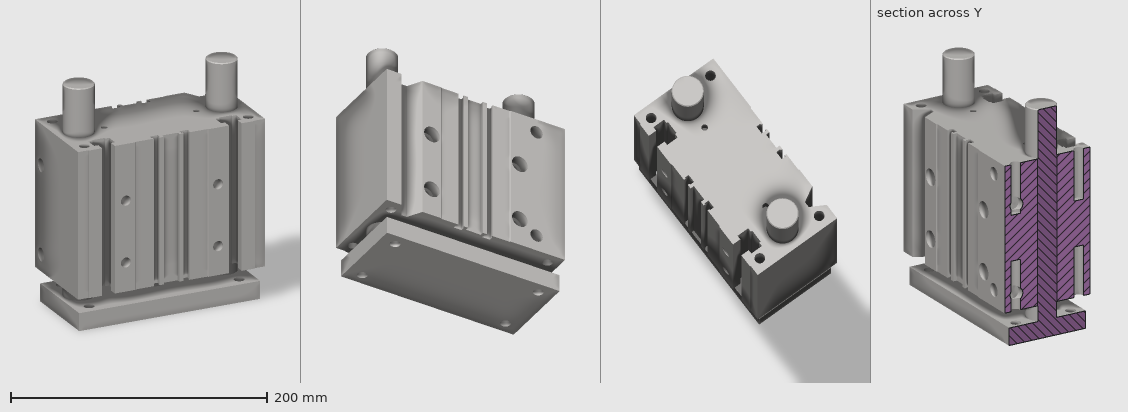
import cadquery as cq

TOTAL_HEIGHT = 193.0
HOUSING_X = 78.0
HOUSING_Y = 162.0
HOUSING_BOTTOM = 28.0
HOUSING_TOP = 151.9
HOUSING_HEIGHT = HOUSING_TOP - HOUSING_BOTTOM
HALF_X = HOUSING_X / 2
HALF_Y = HOUSING_Y / 2

PLATE_X = 70.0
PLATE_Y = 157.0
PLATE_THICKNESS = 15.0
PLATE_HOLE_DIAMETER = 8.5
PLATE_HOLE_SPACING_X = 50.0
PLATE_HOLE_SPACING_Y = 130.0
GUIDE_ROD_DIAMETER = 25.0
GUIDE_ROD_SPACING = 124.0
GUIDE_ROD_CHAMFER = 0.8
PISTON_ROD_DIAMETER = 20.0

RELIEF_DEPTH = 0.68
MIDDLE_RELIEF_HALF_WIDTH = 31.7
CORNER_RELIEF_LENGTH = 9.0

CHANNEL_WIDTH = 13.5
CHANNEL_DEPTH = 3.9
SENSOR_SLOT_OFFSET = 13.0
SENSOR_NECK_WIDTH = 5.0
SENSOR_NECK_DEPTH = 2.3
SENSOR_SLOT_WIDTH = 7.0
SENSOR_SLOT_DEPTH = 6.0

V_GROOVE_Y = 57.9
V_GROOVE_MOUTH = 19.0
V_GROOVE_FLOOR = 5.0
V_GROOVE_DEPTH = 12.4

MOUNT_SLOT_Y = 55.0
MOUNT_NECK_WIDTH = 11.0
MOUNT_NECK_DEPTH = 7.1
MOUNT_SLOT_WIDTH = 18.0
MOUNT_SLOT_DEPTH = 17.4
MOUNT_FLOOR_DEPTH = 18.7

CORNER_HOLE_DIAMETER = 8.3
CORNER_HOLE_SPACING_X = 57.7
CORNER_HOLE_SPACING_Y = 142.0
CORNER_HOLE_DEPTH = 42.5
DOWEL_HOLE_DIAMETER = 5.2
DOWEL_HOLE_DEPTH = 9.6
CROSS_HOLE_SPACING_Y = 79.9
CROSS_HOLE_BOTTOM_Z = 52.3
CROSS_HOLE_SPACING_Z = 52.0
CROSS_HOLE_DIAMETER = 8.5
COUNTERBORE_DIAMETER = 14.0
COUNTERBORE_DEPTH = 9.6
PORT_DIAMETER = 11.2
PORT_DEPTH = 15.5
SIDE_PORT_Y = -55.2
SIDE_PORT_HEIGHTS = (42.0, 139.7)
END_PORT_X = -28.2
END_PORT_HEIGHTS = (42.0, 117.0)


def housing_prism(x_min, x_max, y_center, y_width):
    """Box over the full housing height."""
    return (
        cq.Workplane("XY", origin=((x_min + x_max) / 2, y_center, HOUSING_BOTTOM))
        .rect(x_max - x_min, y_width)
        .extrude(HOUSING_HEIGHT)
    )


def wall_cut(side, y_center, width, depth):
    """Slot of full height, cut to the given depth from the +X (side = 1) or -X (side = -1) wall."""
    outer = side * HALF_X
    inner = side * (HALF_X - depth)
    return housing_prism(min(outer, inner), max(outer, inner), y_center, width)


def middle_relief(side):
    """Shallow relief of the middle of a long wall, with ends sloping at 45 degrees."""
    mouth = MIDDLE_RELIEF_HALF_WIDTH
    floor = mouth - RELIEF_DEPTH
    outer = side * HALF_X
    inner = side * (HALF_X - RELIEF_DEPTH)
    return (
        cq.Workplane("XY", origin=(0, 0, HOUSING_BOTTOM))
        .polyline([(outer, -mouth), (inner, -floor), (inner, floor), (outer, mouth)])
        .close()
        .extrude(HOUSING_HEIGHT)
    )


def v_groove():
    """Flat-bottomed V-groove over the full height of the -X wall."""
    mouth = V_GROOVE_MOUTH / 2
    floor = V_GROOVE_FLOOR / 2
    floor_x = V_GROOVE_DEPTH - HALF_X
    return (
        cq.Workplane("XY", origin=(0, V_GROOVE_Y, HOUSING_BOTTOM))
        .polyline([(-HALF_X, -mouth), (floor_x, -floor), (floor_x, floor), (-HALF_X, mouth)])
        .close()
        .extrude(HOUSING_HEIGHT)
    )


def sensor_slots(side):
    """Central channel of a long wall with a T-slot on each side of it."""
    cuts = wall_cut(side, 0, CHANNEL_WIDTH, CHANNEL_DEPTH)
    wide_x = sorted((side * (HALF_X - SENSOR_NECK_DEPTH), side * (HALF_X - SENSOR_SLOT_DEPTH)))
    for y in (-SENSOR_SLOT_OFFSET, SENSOR_SLOT_OFFSET):
        cuts = cuts.union(wall_cut(side, y, SENSOR_NECK_WIDTH, SENSOR_SLOT_DEPTH))
        cuts = cuts.union(housing_prism(*wide_x, y, SENSOR_SLOT_WIDTH))
    return cuts


def mount_slot(y):
    """T-slot in the +X wall; its neck width continues as a shallow step in the slot floor."""
    neck = wall_cut(1, y, MOUNT_NECK_WIDTH, MOUNT_FLOOR_DEPTH)
    wide = housing_prism(HALF_X - MOUNT_SLOT_DEPTH, HALF_X - MOUNT_NECK_DEPTH, y, MOUNT_SLOT_WIDTH)
    return neck.union(wide)


def guide_rods(bottom, top):
    """Pair of cylinders of the guide rod size, also used to bore the housing."""
    return (
        cq.Workplane("XY", origin=(0, 0, bottom))
        .rarray(2, GUIDE_ROD_SPACING, 1, 2)
        .circle(GUIDE_ROD_DIAMETER / 2)
        .extrude(top - bottom)
    )


def vertical_holes(bottom, depth, diameter, spacing_x, spacing_y):
    """Four vertical cylinders, at the corners of a rectangle around the piston axis."""
    return (
        cq.Workplane("XY", origin=(0, 0, bottom))
        .rarray(spacing_x, spacing_y, 2, 2)
        .circle(diameter / 2)
        .extrude(depth)
    )


def dowel_holes():
    """Two blind holes in the top face, in line with the cross holes."""
    return (
        cq.Workplane("XY", origin=(0, 0, HOUSING_TOP))
        .rarray(2, CROSS_HOLE_SPACING_Y, 1, 2)
        .circle(DOWEL_HOLE_DIAMETER / 2)
        .extrude(-DOWEL_HOLE_DEPTH)
    )


def cross_holes(length, diameter):
    """Four cylinders running into the housing from the -X wall."""
    z = CROSS_HOLE_BOTTOM_Z + CROSS_HOLE_SPACING_Z / 2
    return (
        cq.Workplane("YZ", origin=(-HALF_X, 0, z))
        .rarray(CROSS_HOLE_SPACING_Y, CROSS_HOLE_SPACING_Z, 2, 2)
        .circle(diameter / 2)
        .extrude(length)
    )


def ports():
    """Blind air ports in the -X wall and in the -Y end."""
    radius = PORT_DIAMETER / 2
    side_ports = (
        cq.Workplane("YZ", origin=(-HALF_X, 0, 0))
        .pushPoints([(SIDE_PORT_Y, z) for z in SIDE_PORT_HEIGHTS])
        .circle(radius)
        .extrude(PORT_DEPTH)
    )
    end_ports = (
        cq.Workplane("XZ", origin=(0, -HALF_Y, 0))
        .pushPoints([(END_PORT_X, z) for z in END_PORT_HEIGHTS])
        .circle(radius)
        .extrude(-PORT_DEPTH)
    )
    return side_ports.union(end_ports)


def make_housing():
    """Cylinder body with its slots, bores, mounting holes and ports."""
    housing = housing_prism(-HALF_X, HALF_X, 0, HOUSING_Y)
    for side in (-1, 1):
        housing = housing.cut(middle_relief(side)).cut(sensor_slots(side))
    for end in (-1, 1):
        corner_y = end * (HALF_Y - CORNER_RELIEF_LENGTH / 2)
        housing = housing.cut(wall_cut(1, corner_y, CORNER_RELIEF_LENGTH, RELIEF_DEPTH))
        housing = housing.cut(mount_slot(end * MOUNT_SLOT_Y))
    housing = housing.cut(v_groove())
    housing = housing.cut(guide_rods(HOUSING_BOTTOM, HOUSING_TOP))
    for bottom in (HOUSING_BOTTOM, HOUSING_TOP - CORNER_HOLE_DEPTH):
        housing = housing.cut(vertical_holes(
            bottom, CORNER_HOLE_DEPTH, CORNER_HOLE_DIAMETER, CORNER_HOLE_SPACING_X, CORNER_HOLE_SPACING_Y,
        ))
    housing = housing.cut(dowel_holes())
    housing = housing.cut(cross_holes(HOUSING_X, CROSS_HOLE_DIAMETER))
    housing = housing.cut(cross_holes(COUNTERBORE_DEPTH, COUNTERBORE_DIAMETER))
    return housing.cut(ports())


def make_rod_assembly():
    """Plate with two guide rods through the housing and a piston rod up to the housing underside."""
    plate = cq.Workplane("XY").rect(PLATE_X, PLATE_Y).extrude(PLATE_THICKNESS)
    plate = plate.cut(vertical_holes(
        0, PLATE_THICKNESS, PLATE_HOLE_DIAMETER, PLATE_HOLE_SPACING_X, PLATE_HOLE_SPACING_Y,
    ))
    piston_rod = (
        cq.Workplane("XY", origin=(0, 0, PLATE_THICKNESS))
        .circle(PISTON_ROD_DIAMETER / 2)
        .extrude(HOUSING_BOTTOM - PLATE_THICKNESS)
    )
    rods = guide_rods(PLATE_THICKNESS, TOTAL_HEIGHT).faces(">Z").chamfer(GUIDE_ROD_CHAMFER)
    return plate.union(piston_rod).union(rods)


housing = make_housing()
rod_assembly = make_rod_assembly()

result = cq.Compound.makeCompound([housing.val(), rod_assembly.val()])